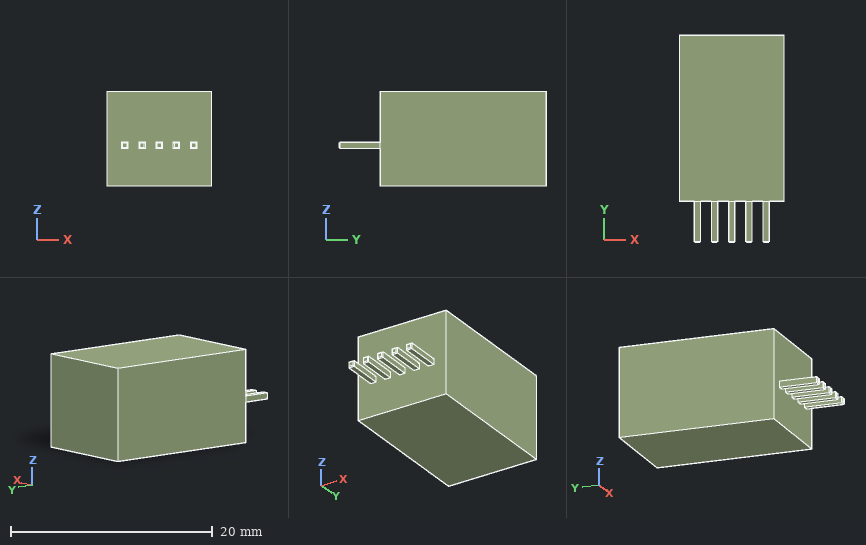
import cadquery as cq

body_width = 10.4
body_height = 9.42
overall_length = 20.57
pin_length = 4.07
body_length = overall_length - pin_length

pin_count = 5
pin_pitch = 1.7
pin_side = 0.64
pin_tip_chamfer = 0.1
pin_center_height = 4.05


def make_housing():
    """Plain block with its pin face at Y = 0 and its underside at Z = 0."""
    return cq.Workplane("XY").box(
        body_width, body_length, body_height, centered=(True, False, False)
    )


def make_pin(x_center):
    """Square pin pointing toward -Y with a chamfered tip."""
    return (
        cq.Workplane("XZ")
        .center(x_center, pin_center_height)
        .rect(pin_side, pin_side)
        .extrude(pin_length)
        .faces("<Y")
        .chamfer(pin_tip_chamfer)
    )


result = make_housing()
for index in range(pin_count):
    pin_x = (index - (pin_count - 1) / 2) * pin_pitch
    result = result.union(make_pin(pin_x))